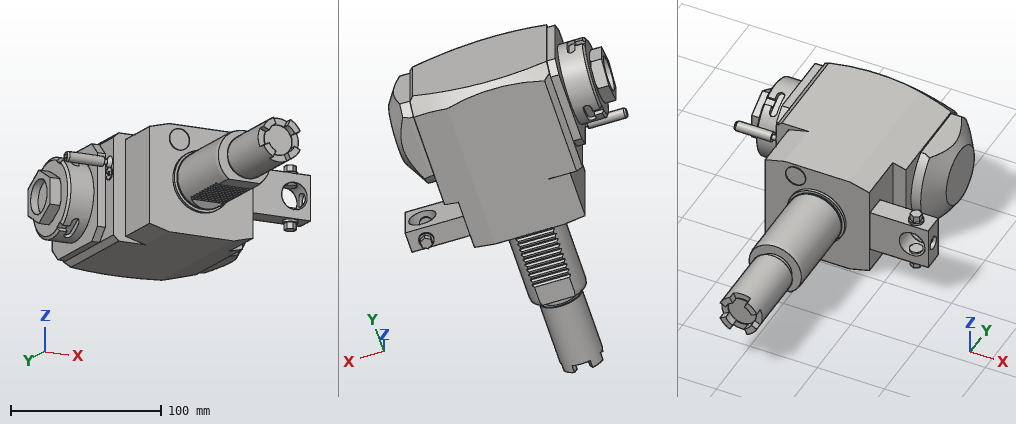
import cadquery as cq
import math


HALF_HEIGHT = 37.5
TAPER_START_X = 24.0
TAPER_SLOPE = math.tan(math.radians(15))
FOOT_HALF_WIDTH = 38.7
SHOULDER_Y = 35.0
BACK_Y = 114.0
HEAD_LEFT = -48.0
HEAD_RIGHT = 48.5
HEAD_CHAMFER_X = 4.2
HEAD_CHAMFER_Z = 3.7
BACK_CORNER_CHAMFER = 3.0
CROWN_X = -9.7
CROWN_Y = -15.3
CROWN_RADIUS = 125.0
PLUG_X = -16.2
PLUG_Z = 27.5
PLUG_RADIUS = 7.5
PLUG_RECESS = 0.7

SPINDLE_Y = 80.0
PLATE_LEFT = -53.7
PLATE_BOTTOM_Y = 46.8
PLATE_BACK_Y = 113.0
PLATE_CORNER = 8.3
NUT_LEFT = -72.2
NUT_RADIUS = 27.8
NUT_CHAMFER_X = 1.5
NUT_CHAMFER_R = 2.0
CHANNEL_DEPTH = 3.0
CHANNEL_WIDTH = 5.3
NUT_SLOT_ANGLES = (0, 120, 240)
POCKET_X = -63.0
POCKET_LENGTH = 17.8
POCKET_WIDTH = 5.3
POCKET_DEPTH = 4.0
HEX_LEFT = -80.5
HEX_CORNER_RADIUS = 18.5
HEX_BEVEL_LENGTH = 1.0
HEX_BEVEL_END_RADIUS = 17.0
HEX_BORE_RADIUS = 12.0
HEX_BORE_DEPTH = 5.5

NOZZLE_Y = 40.5
NOZZLE_Z = 17.8
NOZZLE_RADIUS = 3.5
NOZZLE_TIP_RADIUS = 2.8
NOZZLE_TIP_LENGTH = 1.5
NOZZLE_LEFT = -80.5
NOZZLE_RIGHT = -53.3
NOZZLE_NECK_RADIUS = 1.9
NOZZLE_BORE_RADIUS = 1.6
NOZZLE_BORE_DEPTH = 2.3
NOZZLE_BASE_RADIUS = 4.5
NOZZLE_BASE_HEIGHT = 2.3
SIDE_PLUG_Z = 10.2
SIDE_PLUG_HEIGHT = 0.7
SIDE_PLUG_PIT_RADIUS = 1.5

CAP_RADIUS = 37.3
CAP_CONE_X = 55.5
CAP_RIGHT = 66.5
CAP_END_RADIUS = 21.0
CAP_FLAT_END_X = 51.5
CAP_HALF_HEIGHT = 29.6
CAP_TOP_Y = 110.5

FLANGE_RADIUS = 21.3
FLANGE_END_Y = -2.0
GROOVE_RADIUS = 19.5
GROOVE_END_Y = -3.5
SHANK_RADIUS = 20.0
SHANK_END_Y = -62.8
SHANK_CHAMFER_R = 0.5
SHANK_CHAMFER_LENGTH = 2.8
NECK_RADIUS = 12.5
DRIVE_RADIUS = 15.0
DRIVE_START_Y = -67.0
DRIVE_CHAMFER = 0.5
DRIVE_FLOOR_Y = -112.3
DRIVE_END_Y = -117.6
DRIVE_BORE_RADIUS = 10.5
DRIVE_BORE_EXTRA = 0.7
DRIVE_GAP_HALF_ANGLE = math.radians(25)
DRIVE_GAPS = 4

RACK_FLAT_Z = -15.7
RACK_START_Y = -9.5
RACK_FIRST_GROOVE_Y = -11.5
RACK_PITCH = 4.0
RACK_GROOVES = 10
RACK_GROOVE_DEPTH = 1.2
RACK_GROOVE_HALF_WIDTH = 1.5

ARM_RIGHT = 82.0
ARM_Y_LOW = 1.0
ARM_Y_HIGH = 16.0
ARM_HALF_HEIGHT = 15.7
ARM_HOLE_X = 70.0
ARM_HOLE_RADIUS = 9.5
ARM_END_HOLE_RADIUS = 4.6
SCREW_Y = 7.2
SCREW_TIP_Z = 7.9
SCREW_SHANK_RADIUS = 4.6
SCREW_WASHER_RADIUS = 5.0
SCREW_WASHER_HEIGHT = 1.6
SCREW_HEAD_RADIUS = 4.2
SCREW_HEAD_TURN = 30
SCREW_TOP_Z = 22.0


def taper_height(x):
    """Half height of the housing on its tapered right side."""
    return HALF_HEIGHT - (x - TAPER_START_X) * TAPER_SLOPE


def cylinder_x(radius, x_start, x_end, y, z):
    """Cylinder parallel to X."""
    plane = cq.Workplane("YZ", origin=(x_start, y, z))
    return plane.circle(radius).extrude(x_end - x_start)


def prism_y(points, y_start, y_end):
    """Outline in X and Z, extruded from y_start to y_end."""
    plane = cq.Workplane("XZ", origin=(0, y_start, 0))
    return plane.polyline(points).close().extrude(y_start - y_end)


def mirrored_outline(upper_points):
    """Closed outline from its upper half, listed from left to right."""
    return upper_points + [(x, -z) for x, z in reversed(upper_points)]


def turned_about_x(profile, y, z):
    """Revolve a profile of (x, radius) points about a line parallel to X."""
    plane = cq.Workplane("XY", origin=(0, y, z))
    return plane.polyline(profile).close().revolve(360, (0, 0, 0), (1, 0, 0))


def make_foot():
    edge_height = taper_height(FOOT_HALF_WIDTH)
    outline = mirrored_outline([
        (-FOOT_HALF_WIDTH, edge_height),
        (-TAPER_START_X, HALF_HEIGHT),
        (TAPER_START_X, HALF_HEIGHT),
        (FOOT_HALF_WIDTH, edge_height),
    ])
    foot = prism_y(outline, 0, SHOULDER_Y)
    plane = cq.Workplane("XZ", origin=(PLUG_X, 0, PLUG_Z))
    return foot.cut(plane.circle(PLUG_RADIUS).extrude(-PLUG_RECESS))


def make_crown():
    """Turned envelope with 45 degree cones that bevel the back edges of the head."""
    middle_radius = CROWN_RADIUS + HALF_HEIGHT
    profile = [(0, -HALF_HEIGHT), (CROWN_RADIUS, -HALF_HEIGHT), (middle_radius, 0)]
    profile += [(CROWN_RADIUS, HALF_HEIGHT), (0, HALF_HEIGHT)]
    plane = cq.Workplane("XZ", origin=(CROWN_X, CROWN_Y, 0))
    return plane.polyline(profile).close().revolve(360, (0, 0, 0), (0, 1, 0))


def make_head():
    outline = mirrored_outline([
        (HEAD_LEFT, HALF_HEIGHT - HEAD_CHAMFER_Z),
        (HEAD_LEFT + HEAD_CHAMFER_X, HALF_HEIGHT),
        (TAPER_START_X, HALF_HEIGHT),
        (HEAD_RIGHT, taper_height(HEAD_RIGHT)),
    ])
    head = prism_y(outline, SHOULDER_Y, BACK_Y)
    corner = [
        (HEAD_RIGHT, BACK_Y),
        (HEAD_RIGHT - BACK_CORNER_CHAMFER, BACK_Y),
        (HEAD_RIGHT, BACK_Y - BACK_CORNER_CHAMFER),
    ]
    bevel = cq.Workplane("XY").polyline(corner).close().extrude(HALF_HEIGHT, both=True)
    return head.cut(bevel).intersect(make_crown())


def make_plate():
    length = PLATE_BACK_Y - PLATE_BOTTOM_Y
    height = 2 * (HALF_HEIGHT - HEAD_CHAMFER_Z)
    centre = (PLATE_LEFT, (PLATE_BACK_Y + PLATE_BOTTOM_Y) / 2, 0)
    plate = cq.Workplane("YZ", origin=centre).rect(length, height).extrude(HEAD_LEFT - PLATE_LEFT)
    return plate.edges("|X").chamfer(PLATE_CORNER)


def make_nut_slot(angle):
    """Axial channel from the front of the nut into a rounded cross pocket."""
    channel_length = POCKET_X - NUT_LEFT
    channel_middle = (POCKET_X + NUT_LEFT) / 2
    channel_floor = cq.Workplane("XY", origin=(channel_middle, SPINDLE_Y, NUT_RADIUS - CHANNEL_DEPTH))
    channel = channel_floor.rect(channel_length, CHANNEL_WIDTH).extrude(2 * CHANNEL_DEPTH)
    pocket_floor = cq.Workplane("XY", origin=(POCKET_X, SPINDLE_Y, NUT_RADIUS - POCKET_DEPTH))
    pocket = pocket_floor.slot2D(POCKET_LENGTH, POCKET_WIDTH, 90).extrude(2 * POCKET_DEPTH)
    slot = channel.union(pocket)
    return slot.rotate((0, SPINDLE_Y, 0), (1, SPINDLE_Y, 0), angle - 90)


def make_nut():
    nut = turned_about_x([
        (NUT_LEFT, 0),
        (NUT_LEFT, NUT_RADIUS - NUT_CHAMFER_R),
        (NUT_LEFT + NUT_CHAMFER_X, NUT_RADIUS),
        (PLATE_LEFT, NUT_RADIUS),
        (PLATE_LEFT, 0),
    ], SPINDLE_Y, 0)
    for angle in NUT_SLOT_ANGLES:
        nut = nut.cut(make_nut_slot(angle))
    return nut


def make_hexagon():
    plane = cq.Workplane("YZ", origin=(HEX_LEFT, SPINDLE_Y, 0)).transformed(rotate=(0, 0, 90))
    hexagon = plane.polygon(6, 2 * HEX_CORNER_RADIUS).extrude(NUT_LEFT - HEX_LEFT)
    envelope = turned_about_x([
        (HEX_LEFT, 0),
        (HEX_LEFT, HEX_CORNER_RADIUS),
        (NUT_LEFT - HEX_BEVEL_LENGTH, HEX_CORNER_RADIUS),
        (NUT_LEFT, HEX_BEVEL_END_RADIUS),
        (NUT_LEFT, 0),
    ], SPINDLE_Y, 0)
    hexagon = hexagon.intersect(envelope)
    bore = cylinder_x(HEX_BORE_RADIUS, HEX_LEFT, HEX_LEFT + HEX_BORE_DEPTH, SPINDLE_Y, 0)
    return hexagon.cut(bore)


def make_nozzle():
    base_left = HEAD_LEFT - NOZZLE_BASE_HEIGHT
    bore_floor = NOZZLE_LEFT + NOZZLE_BORE_DEPTH
    return turned_about_x([
        (bore_floor, 0),
        (bore_floor, NOZZLE_BORE_RADIUS),
        (NOZZLE_LEFT, NOZZLE_BORE_RADIUS),
        (NOZZLE_LEFT, NOZZLE_TIP_RADIUS),
        (NOZZLE_LEFT + NOZZLE_TIP_LENGTH, NOZZLE_RADIUS),
        (NOZZLE_RIGHT, NOZZLE_RADIUS),
        (NOZZLE_RIGHT, NOZZLE_NECK_RADIUS),
        (base_left, NOZZLE_NECK_RADIUS),
        (HEAD_LEFT, NOZZLE_BASE_RADIUS),
        (HEAD_LEFT, 0),
    ], NOZZLE_Y, NOZZLE_Z)


def make_side_plug():
    left = HEAD_LEFT - SIDE_PLUG_HEIGHT
    disc = cylinder_x(NOZZLE_BASE_RADIUS, left, HEAD_LEFT, NOZZLE_Y, SIDE_PLUG_Z)
    pit = cylinder_x(SIDE_PLUG_PIT_RADIUS, left, HEAD_LEFT, NOZZLE_Y, SIDE_PLUG_Z)
    return disc.cut(pit)


def make_cap():
    cap = turned_about_x([
        (HEAD_RIGHT, 0),
        (HEAD_RIGHT, CAP_RADIUS),
        (CAP_CONE_X, CAP_RADIUS),
        (CAP_RIGHT, CAP_END_RADIUS),
        (CAP_RIGHT, 0),
    ], SPINDLE_Y, 0)
    end_height = CAP_HALF_HEIGHT - (CAP_RIGHT - CAP_FLAT_END_X) * TAPER_SLOPE
    envelope = mirrored_outline([
        (HEAD_RIGHT, CAP_HALF_HEIGHT),
        (CAP_FLAT_END_X, CAP_HALF_HEIGHT),
        (CAP_RIGHT, end_height),
    ])
    return cap.intersect(prism_y(envelope, SPINDLE_Y - CAP_RADIUS, CAP_TOP_Y))


def make_rack_cutter():
    """Flat with a 45 degree run-in and V grooves, as one cutter across the shank."""
    below = -FLANGE_RADIUS
    run_in = RACK_FLAT_Z - below
    profile = [(RACK_START_Y + run_in, below), (RACK_START_Y, RACK_FLAT_Z)]
    for index in range(RACK_GROOVES):
        groove_y = RACK_FIRST_GROOVE_Y - index * RACK_PITCH
        profile.append((groove_y + RACK_GROOVE_HALF_WIDTH, RACK_FLAT_Z))
        profile.append((groove_y, RACK_FLAT_Z + RACK_GROOVE_DEPTH))
        profile.append((groove_y - RACK_GROOVE_HALF_WIDTH, RACK_FLAT_Z))
    profile += [(SHANK_END_Y, RACK_FLAT_Z), (SHANK_END_Y, below)]
    return cq.Workplane("YZ").polyline(profile).close().extrude(SHANK_RADIUS, both=True)


def make_drive_gap(index):
    """Wedge between two driving lugs."""
    reach = 2 * DRIVE_RADIUS
    half_width = reach * math.tan(DRIVE_GAP_HALF_ANGLE)
    wedge = [(0, 0), (reach, half_width), (reach, -half_width)]
    gap = prism_y(wedge, DRIVE_END_Y, DRIVE_FLOOR_Y)
    return gap.rotate((0, 0, 0), (0, 1, 0), index * 360 / DRIVE_GAPS)


def make_shank():
    bore_floor = DRIVE_FLOOR_Y + DRIVE_BORE_EXTRA
    profile = [
        (0, 0),
        (FLANGE_RADIUS, 0),
        (FLANGE_RADIUS, FLANGE_END_Y),
        (GROOVE_RADIUS, FLANGE_END_Y),
        (GROOVE_RADIUS, GROOVE_END_Y),
        (SHANK_RADIUS, GROOVE_END_Y),
        (SHANK_RADIUS, SHANK_END_Y + SHANK_CHAMFER_LENGTH),
        (SHANK_RADIUS - SHANK_CHAMFER_R, SHANK_END_Y),
        (NECK_RADIUS, SHANK_END_Y),
        (NECK_RADIUS, DRIVE_START_Y),
        (DRIVE_RADIUS - DRIVE_CHAMFER, DRIVE_START_Y),
        (DRIVE_RADIUS, DRIVE_START_Y - DRIVE_CHAMFER),
        (DRIVE_RADIUS, DRIVE_END_Y),
        (DRIVE_BORE_RADIUS, DRIVE_END_Y),
        (DRIVE_BORE_RADIUS, bore_floor),
        (0, bore_floor),
    ]
    shank = cq.Workplane("XY").polyline(profile).close().revolve(360, (0, 0, 0), (0, 1, 0))
    shank = shank.cut(make_rack_cutter())
    for index in range(DRIVE_GAPS):
        shank = shank.cut(make_drive_gap(index))
    return shank


def make_screw():
    """Upper clamping screw, pointing down into the arm hole."""
    tip = cq.Workplane("XY", origin=(ARM_HOLE_X, SCREW_Y, SCREW_TIP_Z))
    shank = tip.circle(SCREW_SHANK_RADIUS).extrude(ARM_HALF_HEIGHT - SCREW_TIP_Z)
    seat = cq.Workplane("XY", origin=(ARM_HOLE_X, SCREW_Y, ARM_HALF_HEIGHT))
    washer = seat.circle(SCREW_WASHER_RADIUS).extrude(SCREW_WASHER_HEIGHT)
    turned_seat = seat.transformed(rotate=(0, 0, SCREW_HEAD_TURN))
    head = turned_seat.polygon(6, 2 * SCREW_HEAD_RADIUS).extrude(SCREW_TOP_Z - ARM_HALF_HEIGHT)
    return shank.union(washer).union(head)


def make_arm():
    outline = mirrored_outline([(FOOT_HALF_WIDTH, ARM_HALF_HEIGHT), (ARM_RIGHT, ARM_HALF_HEIGHT)])
    arm = prism_y(outline, ARM_Y_LOW, ARM_Y_HIGH)
    hole_plane = cq.Workplane("XZ", origin=(ARM_HOLE_X, ARM_Y_HIGH, 0))
    arm = arm.cut(hole_plane.circle(ARM_HOLE_RADIUS).extrude(ARM_Y_HIGH - ARM_Y_LOW))
    middle_y = (ARM_Y_LOW + ARM_Y_HIGH) / 2
    arm = arm.cut(cylinder_x(ARM_END_HOLE_RADIUS, ARM_HOLE_X, ARM_RIGHT, middle_y, 0))
    screw = make_screw()
    return arm.union(screw).union(screw.mirror("XY"))


result = make_foot()
for piece in (
    make_head(),
    make_plate(),
    make_nut(),
    make_hexagon(),
    make_nozzle(),
    make_side_plug(),
    make_cap(),
    make_shank(),
    make_arm(),
):
    result = result.union(piece)